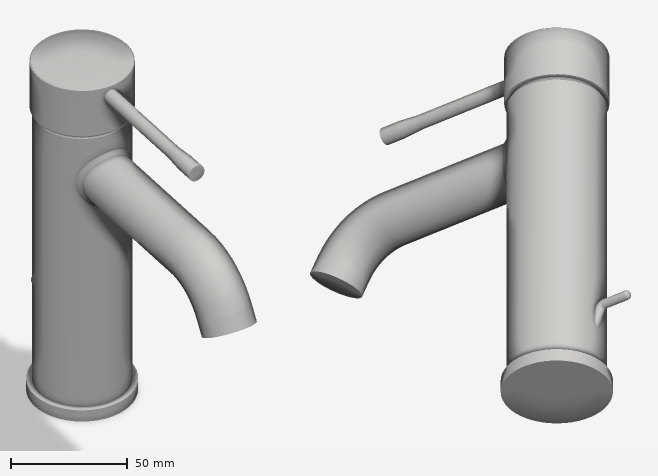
import cadquery as cq
import math

BASE_DIAMETER = 48.0
BASE_HEIGHT = 6.0

COLUMN_DIAMETER = 43.0
COLUMN_TOP = 147.3
COLUMN_EDGE_CHAMFER = 0.5

SPOUT_DIAMETER = 24.5
SPOUT_AXIS_Z = 123.5
SPOUT_BEND_START_X = 86.0
SPOUT_BEND_RADIUS = 30.6
SPOUT_BEND_ANGLE = 60.0
SPOUT_OUTLET_LENGTH = 7.8
SPOUT_ROOT_CHAMFER = 2.0

COLLAR_BOTTOM_DIAMETER = COLUMN_DIAMETER - 2 * COLUMN_EDGE_CHAMFER
COLLAR_TOP_DIAMETER = 41.0

CAP_DIAMETER = 45.0
CAP_BOTTOM = 148.9
CAP_TOP = 174.0
CAP_DOME_RISE = 0.61
CAP_EDGE_CHAMFER = 0.5

LEVER_AXIS_Z = 167.9
LEVER_ROD_DIAMETER = 6.5
LEVER_TIP_DIAMETER = 7.8
LEVER_FLARE_START_X = 72.0
LEVER_TIP_START_X = 81.2
LEVER_END_X = 90.6
LEVER_SOCKET_DEPTH = 7.0

DRAIN_ROD_DIAMETER = 4.2
DRAIN_ROD_AXIS_Z = 35.5
DRAIN_ROD_END_X = -38.5
DRAIN_ROD_END_FILLET = 1.5
DRAIN_ROD_BEND_START_X = -25.4
DRAIN_ROD_BEND_RADIUS = 3.0
DRAIN_ROD_BEND_ANGLE = 69.0
DRAIN_ROD_LEG_LENGTH = 10.5


def bent_rod(diameter, start_x, bend_start_x, axis_z, bend_radius, bend_angle, leg_length):
    """Round rod that runs along +X, bends down by bend_angle and ends in a straight leg."""
    angle = math.radians(bend_angle)

    def bend_point(turn):
        """Point on the bend, as (x, z), after turning through the given angle."""
        x = bend_start_x + bend_radius * math.sin(turn)
        z = axis_z - bend_radius * (1 - math.cos(turn))
        return x, z

    bend_end_x, bend_end_z = bend_point(angle)
    leg_end = (bend_end_x + leg_length * math.cos(angle), bend_end_z - leg_length * math.sin(angle))
    path = (
        cq.Workplane("XZ")
        .moveTo(start_x, axis_z)
        .lineTo(bend_start_x, axis_z)
        .threePointArc(bend_point(angle / 2), (bend_end_x, bend_end_z))
        .lineTo(*leg_end)
    )
    return cq.Workplane("YZ", origin=(start_x, 0, axis_z)).circle(diameter / 2).sweep(path)


def make_base_ring():
    """Flat disc that the column stands on."""
    return cq.Workplane("XY").circle(BASE_DIAMETER / 2).extrude(BASE_HEIGHT)


def make_drain_rod():
    """Pull rod whose bent leg runs into the back of the column."""
    rod = bent_rod(
        DRAIN_ROD_DIAMETER,
        DRAIN_ROD_END_X,
        DRAIN_ROD_BEND_START_X,
        DRAIN_ROD_AXIS_Z,
        DRAIN_ROD_BEND_RADIUS,
        DRAIN_ROD_BEND_ANGLE,
        DRAIN_ROD_LEG_LENGTH,
    )
    return rod.faces("<X").edges().fillet(DRAIN_ROD_END_FILLET)


def make_column(drain_rod):
    """Column with its curved spout, and the recess for the drain rod."""
    column = (
        cq.Workplane("XY", origin=(0, 0, BASE_HEIGHT))
        .circle(COLUMN_DIAMETER / 2)
        .extrude(COLUMN_TOP - BASE_HEIGHT)
        .faces(">Z")
        .chamfer(COLUMN_EDGE_CHAMFER)
    )
    spout = bent_rod(
        SPOUT_DIAMETER,
        0,
        SPOUT_BEND_START_X,
        SPOUT_AXIS_Z,
        SPOUT_BEND_RADIUS,
        SPOUT_BEND_ANGLE,
        SPOUT_OUTLET_LENGTH,
    )
    reach = COLUMN_DIAMETER / 2
    root_box = cq.selectors.BoxSelector(
        (0, -SPOUT_DIAMETER, SPOUT_AXIS_Z - SPOUT_DIAMETER),
        (reach + SPOUT_ROOT_CHAMFER, SPOUT_DIAMETER, SPOUT_AXIS_Z + SPOUT_DIAMETER),
        boundingbox=True,
    )
    body = column.union(spout).edges(root_box).chamfer(SPOUT_ROOT_CHAMFER)
    return body.cut(drain_rod).solids()


def make_collar():
    """Low cone that fills the space between the column and the cap."""
    return (
        cq.Workplane("XY", origin=(0, 0, COLUMN_TOP))
        .circle(COLLAR_BOTTOM_DIAMETER / 2)
        .workplane(offset=CAP_BOTTOM - COLUMN_TOP)
        .circle(COLLAR_TOP_DIAMETER / 2)
        .loft()
    )


def make_lever():
    """Straight lever rod that flares into a thicker tip."""
    start_x = CAP_DIAMETER / 2 - LEVER_SOCKET_DEPTH
    rod_radius = LEVER_ROD_DIAMETER / 2
    tip_radius = LEVER_TIP_DIAMETER / 2
    profile = (
        cq.Workplane("XZ", origin=(0, 0, LEVER_AXIS_Z))
        .moveTo(start_x, 0)
        .lineTo(start_x, rod_radius)
        .lineTo(LEVER_FLARE_START_X, rod_radius)
        .lineTo(LEVER_TIP_START_X, tip_radius)
        .lineTo(LEVER_END_X, tip_radius)
        .lineTo(LEVER_END_X, 0)
        .close()
    )
    return profile.revolve(360, (0, 0, 0), (1, 0, 0))


def make_cap(lever):
    """Cap with a chamfered rim, a low domed top and the socket for the lever."""
    radius = CAP_DIAMETER / 2
    dome_radius = radius - CAP_EDGE_CHAMFER
    dome_base = CAP_TOP - CAP_DOME_RISE
    sphere_radius = (dome_radius**2 + CAP_DOME_RISE**2) / (2 * CAP_DOME_RISE)
    half_angle = math.asin(dome_radius / sphere_radius) / 2
    dome_middle = (
        sphere_radius * math.sin(half_angle),
        CAP_TOP - sphere_radius * (1 - math.cos(half_angle)),
    )
    profile = (
        cq.Workplane("XZ")
        .moveTo(0, CAP_BOTTOM)
        .lineTo(radius, CAP_BOTTOM)
        .lineTo(radius, dome_base - CAP_EDGE_CHAMFER)
        .lineTo(dome_radius, dome_base)
        .threePointArc(dome_middle, (0, CAP_TOP))
        .close()
    )
    return profile.revolve(360, (0, 0, 0), (0, 1, 0)).cut(lever)


base_ring = make_base_ring()
drain_rod = make_drain_rod()
column = make_column(drain_rod)
collar = make_collar()
lever = make_lever()
cap = make_cap(lever)

result = cq.Compound.makeCompound(
    [
        base_ring.val(),
        column.val(),
        collar.val(),
        cap.val(),
        lever.val(),
        drain_rod.val(),
    ]
)